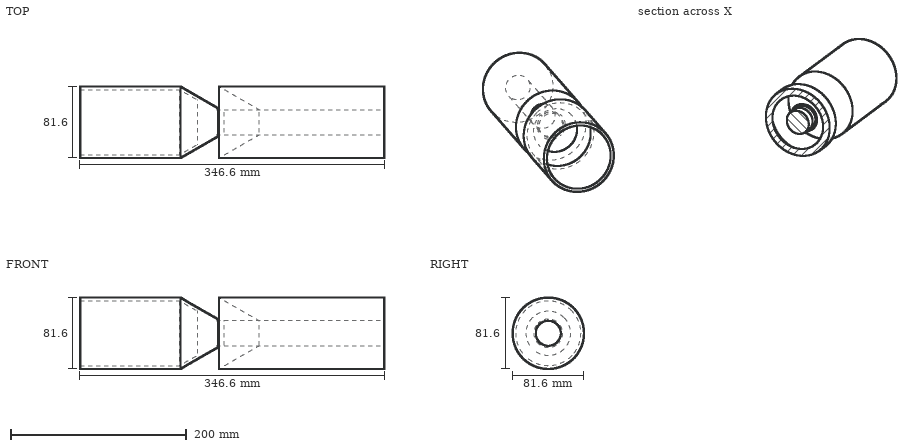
import cadquery as cq
import math

overall_length = 346.58
outer_radius = 40.82
taper_angle = math.radians(30)

cup_wall = 3.8
cup_straight_length = 114.3
shoulder_radius = 16.3
cup_floor_radius = 25.3
neck_length = 7.2

rod_radius = 14.3

sleeve_start = 158.0


def taper_length(large_radius, small_radius):
    """Length along X over which a taper narrows from one radius to the other."""
    return (large_radius - small_radius) / math.tan(taper_angle)


taper_end = cup_straight_length + taper_length(outer_radius, shoulder_radius)
neck_end = taper_end + neck_length
seat_end = sleeve_start + taper_length(outer_radius, rod_radius)

bore_radius = outer_radius - cup_wall
bore_straight_length = cup_straight_length - cup_wall * math.tan(taper_angle / 2)
cup_floor = bore_straight_length + taper_length(bore_radius, cup_floor_radius)


def revolve_about_x(half_section):
    """Turn a closed half section in the XY plane into a round body on the X axis."""
    return half_section.revolve(360, (0, 0, 0), (1, 0, 0))


def make_cup():
    """Tapered cup with a flat-floored bore, a shoulder and a neck as wide as the rod."""
    half_section = (
        cq.Workplane("XY")
        .moveTo(0, bore_radius)
        .lineTo(0, outer_radius)
        .lineTo(cup_straight_length, outer_radius)
        .lineTo(taper_end, shoulder_radius)
        .lineTo(taper_end, rod_radius)
        .lineTo(neck_end, rod_radius)
        .lineTo(neck_end, 0)
        .lineTo(cup_floor, 0)
        .lineTo(cup_floor, cup_floor_radius)
        .lineTo(bore_straight_length, bore_radius)
        .close()
    )
    return revolve_about_x(half_section)


def make_rod():
    """Round rod from the neck of the cup to the far end of the sleeve."""
    rod_length = overall_length - neck_end
    return cq.Workplane("YZ", origin=(neck_end, 0, 0)).circle(rod_radius).extrude(rod_length)


def make_sleeve():
    """Sleeve with a sharp rim, a conical seat and a through hole that fits the rod."""
    half_section = (
        cq.Workplane("XY")
        .moveTo(sleeve_start, outer_radius)
        .lineTo(overall_length, outer_radius)
        .lineTo(overall_length, rod_radius)
        .lineTo(seat_end, rod_radius)
        .close()
    )
    return revolve_about_x(half_section)


cup = make_cup()
rod = make_rod()
sleeve = make_sleeve()

result = cq.Compound.makeCompound([cup.val(), rod.val(), sleeve.val()])